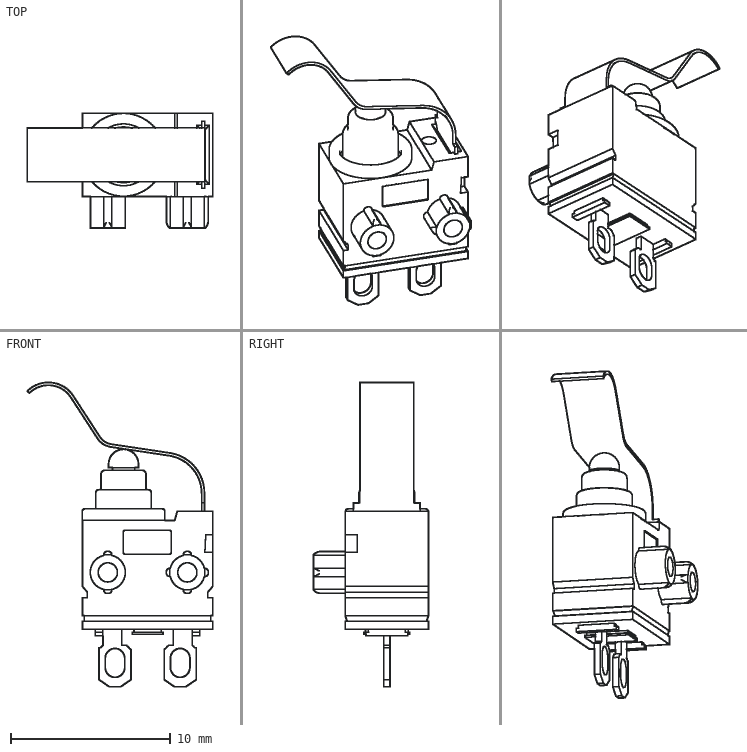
import cadquery as cq
import math

body_length = 8.2
body_depth = 5.25
deck_height = 6.85
step_height = 7.43
step_foot_x = 1.7
step_edge_x = 1.85

notch_depth = 0.3
notch_bottom = 2.0
notch_ramp_bottom = 2.34
notch_top = 2.7
groove_bottom = 0.52
groove_top = 0.86
groove_end_depth = 0.11
groove_side_depth = 0.11

label_length = 3.0
label_height = 1.5
label_x = -0.02
label_z = 5.48
label_depth = 0.1
label_corner = 0.1

corner_notch_bottom = 4.85
corner_notch_top = 5.95
corner_notch_bottom_x = 3.6
corner_notch_top_x = 3.65
corner_notch_depth = 0.77

boss_spacing = 5.0
boss_z = 3.58
boss_diameter = 2.2
boss_length = 2.0
boss_hole_diameter = 1.2
rib_reach = 1.32
rib_width = 0.52
rib_top_rounding = 0.23
rib_rounding = 0.46

plunger_x = -1.51
collar_diameter = 5.21
collar_top = 7.59
collar_rounding = 0.17
collar_mouth_diameter = 4.5
collar_bore_diameter = 3.89
seal_diameter = 3.5
seal_top = 8.8
stage_diameter = 2.85
stage_top = 10.02
stage_rounding = 0.29
seal_rounding = 0.21
seal_foot_rounding = 0.08
neck_diameter = 1.42
cap_diameter = 1.9
cap_bottom = 10.17
cap_rim_top = 10.38

lever_thickness = 0.2
lever_width = 3.4
lever_leg_x = 3.49
lever_leg_top = 8.56
lever_slope = 8.5
lever_rise = 57
shoulder_radius = 2.47
slope_length = 3.72
valley_radius = 1.13
rise_length = 3.07
crest_radius = 1.78
crest_end_angle = 45
ear_span = 4.2
ear_top = 7.95

socket_length = 0.8
socket_width = 3.72
socket_depth = 0.38
socket_taper = 35
socket_x = lever_leg_x
dimple_x = 2.34
dimple_diameter = 0.92
dimple_depth = 0.17

terminal_x = 2.05
terminal_thickness = 0.4
terminal_bottom = -3.62
eye_half_width = 1.02
neck_outer = 0.77
neck_inner = 0.45
shoulder_z = -1.0
eye_inner_corner = 0.29
eye_outer_shoulder = 0.15
eye_tip_half_width = 0.35
eye_tip_height = 0.46
slot_width = 1.2
slot_length = 1.8
slot_z = -2.1
pad_layer = 0.17
pad_outer_x = 3.3
pad_stem_width = 2.34
pad_flange_width = 2.65
pad_flange_thickness = 0.23
plate_stem = (1.72, 2.7)
plate_flange = (1.95, 2.87)
plate_flange_thickness = 0.13

half_length = body_length / 2
half_depth = body_depth / 2
embed = 0.1
lever_foot_z = step_height - socket_depth - embed


def box(x_range, y_range, z_range):
    """Axis-aligned box between the given limits."""
    (x0, x1), (y0, y1), (z0, z1) = x_range, y_range, z_range
    return cq.Workplane("XY").box(x1 - x0, y1 - y0, z1 - z0, centered=False).translate((x0, y0, z0))


def centred_pad(size, top, thickness):
    """Rectangular pad centred on the Z axis, hanging down from the given height."""
    return cq.Workplane("XY", origin=(0, 0, top)).rect(*size).extrude(-thickness)


def front_extrusion(points, depth):
    """Prism of an XZ outline, centred on Y."""
    return cq.Workplane("XZ").polyline(points).close().extrude(depth / 2, both=True)


def housing():
    neck = half_length - notch_depth
    right_side = [
        (half_length, 0),
        (half_length, notch_bottom),
        (neck, notch_bottom),
        (neck, notch_ramp_bottom),
        (half_length, notch_top),
    ]
    left_side = [(-x, z) for x, z in reversed(right_side)]
    top = [
        (half_length, step_height),
        (step_edge_x, step_height),
        (step_foot_x, deck_height),
        (-half_length, deck_height),
    ]
    return front_extrusion(right_side + top + left_side, body_depth)


def base_groove():
    """Groove around the base: square at the ends, undercut at the front and back."""
    band = box((-half_length, half_length), (-half_depth, half_depth), (groove_bottom, groove_top))
    core = (
        cq.Workplane("YZ")
        .polyline(
            [
                (-half_depth + groove_side_depth, groove_bottom),
                (half_depth - groove_side_depth, groove_bottom),
                (half_depth, groove_top),
                (-half_depth, groove_top),
            ]
        )
        .close()
        .extrude(half_length - groove_end_depth, both=True)
    )
    return band.cut(core)


def label_recess():
    return (
        cq.Workplane("XZ", origin=(label_x, -half_depth, label_z))
        .rect(label_length, label_height)
        .extrude(-label_depth)
        .edges("|Y")
        .fillet(label_corner)
    )


def corner_notch():
    outline = [
        (corner_notch_bottom_x, corner_notch_bottom),
        (half_length, corner_notch_bottom),
        (half_length, corner_notch_top),
        (corner_notch_top_x, corner_notch_top),
    ]
    front_face = cq.Workplane("XZ", origin=(0, -half_depth, 0))
    return front_face.polyline(outline).close().extrude(-corner_notch_depth)


def lever_socket():
    return (
        cq.Workplane("XY", origin=(socket_x, 0, step_height))
        .rect(socket_length, socket_width)
        .extrude(-socket_depth, taper=socket_taper)
    )


def dimple():
    cone = cq.Solid.makeCone(dimple_diameter / 2, 0, dimple_depth, dir=cq.Vector(0, 0, -1))
    return cq.Workplane(cone).translate((dimple_x, 0, step_height))


def boss_rib(angle):
    """Round-topped rib along a boss, curving down to the boss at its free end."""
    half_width = rib_width / 2
    rib = box((-half_width, half_width), (-boss_length, 0), (0, rib_reach))
    rib = rib.edges("|Y and >Z").fillet(rib_top_rounding)
    end_curve = (
        cq.Workplane("YZ")
        .moveTo(0, rib_reach)
        .lineTo(-boss_length + rib_rounding, rib_reach)
        .tangentArcPoint((-boss_length, boss_diameter / 2), relative=False)
        .lineTo(-boss_length, rib_reach + embed)
        .lineTo(0, rib_reach + embed)
        .close()
        .extrude(half_width, both=True)
    )
    return rib.cut(end_curve).rotate((0, 0, 0), (0, 1, 0), angle)


def boss(x, rib_angles):
    post = cq.Workplane("XZ").circle(boss_diameter / 2).extrude(boss_length)
    for angle in rib_angles:
        post = post.union(boss_rib(angle))
    bore = cq.Workplane("XZ").circle(boss_hole_diameter / 2).extrude(boss_length)
    return post.cut(bore).translate((x, -half_depth, boss_z))


def disc(diameter, bottom, top):
    return cq.Workplane("XY", origin=(plunger_x, 0, bottom)).circle(diameter / 2).extrude(top - bottom)


def inner_edge(ring):
    """Smallest circular edge of the selected flat ring."""
    return ring.edges(cq.selectors.RadiusNthSelector(0))


def plunger():
    collar = disc(collar_diameter, deck_height, collar_top).faces(">Z").edges().fillet(collar_rounding)
    collar = collar.cut(disc(collar_bore_diameter, deck_height, collar_top))
    mouth_rounding = (collar_mouth_diameter - collar_bore_diameter) / 2
    collar = inner_edge(collar.faces(">Z")).fillet(mouth_rounding)

    seal = disc(seal_diameter, deck_height - embed, seal_top).faces(">Z").edges().fillet(seal_rounding)
    stage = disc(stage_diameter, deck_height, stage_top).faces(">Z").edges().fillet(stage_rounding)
    seal = seal.union(stage)
    seal = inner_edge(seal.faces("+Z").faces("<Z")).fillet(seal_foot_rounding)

    neck = disc(neck_diameter, deck_height, cap_rim_top)
    rim = disc(cap_diameter, cap_bottom, cap_rim_top)
    dome = cq.Workplane("XY").sphere(cap_diameter / 2).translate((plunger_x, 0, cap_rim_top))
    dome = dome.intersect(disc(cap_diameter, cap_rim_top, cap_rim_top + cap_diameter))
    return collar.union(seal).union(neck).union(rim).union(dome)


def lever_path():
    """Centre line of the lever in XZ: leg, shoulder, gentle slope, valley, steep rise, crest."""

    def polar(centre, radius, degrees):
        angle = math.radians(degrees)
        return (centre[0] + radius * math.cos(angle), centre[1] + radius * math.sin(angle))

    def along(start, length, slope):
        return polar(start, length, 180 - slope)

    shoulder_centre = (lever_leg_x - shoulder_radius, lever_leg_top)
    shoulder_end = polar(shoulder_centre, shoulder_radius, 90 - lever_slope)
    slope_end = along(shoulder_end, slope_length, lever_slope)
    valley_centre = polar(slope_end, valley_radius, 90 - lever_slope)
    valley_end = polar(valley_centre, valley_radius, 270 - lever_rise)
    rise_end = along(valley_end, rise_length, lever_rise)
    crest_centre = polar(rise_end, crest_radius, 270 - lever_rise)
    return (
        cq.Workplane("XZ")
        .moveTo(lever_leg_x, lever_foot_z)
        .lineTo(lever_leg_x, lever_leg_top)
        .threePointArc(polar(shoulder_centre, shoulder_radius, (90 - lever_slope) / 2), shoulder_end)
        .lineTo(*slope_end)
        .threePointArc(polar(valley_centre, valley_radius, 270 - (lever_slope + lever_rise) / 2), valley_end)
        .lineTo(*rise_end)
        .threePointArc(
            polar(crest_centre, crest_radius, 90),
            polar(crest_centre, crest_radius, 90 + crest_end_angle),
        )
    )


def lever():
    foot = cq.Workplane("XY", origin=(lever_leg_x, 0, lever_foot_z))
    strip = foot.rect(lever_thickness, lever_width).sweep(lever_path())
    ears = foot.rect(lever_thickness, ear_span).extrude(ear_top - lever_foot_z)
    return strip.union(ears)


def terminal():
    """Right-hand solder terminal: a neck and a slotted eye."""
    outline = [
        (-neck_inner, embed),
        (-neck_inner, shoulder_z),
        (-eye_half_width + eye_inner_corner, shoulder_z),
        (-eye_half_width, shoulder_z - eye_inner_corner),
        (-eye_half_width, terminal_bottom + eye_tip_height),
        (-eye_tip_half_width, terminal_bottom),
        (eye_tip_half_width, terminal_bottom),
        (eye_half_width, terminal_bottom + eye_tip_height),
        (eye_half_width, shoulder_z - eye_outer_shoulder),
        (neck_outer + eye_outer_shoulder, shoulder_z - eye_outer_shoulder),
        (neck_outer, shoulder_z),
        (neck_outer, embed),
    ]
    slot = (
        cq.Workplane("XZ", origin=(0, 0, slot_z))
        .slot2D(slot_length, slot_width, 90)
        .extrude(terminal_thickness, both=True)
    )
    return front_extrusion(outline, terminal_thickness).cut(slot).translate((terminal_x, 0, 0))


def terminal_pad():
    """T-section pad on the outer side of the right-hand terminal."""
    inner_x = terminal_x + neck_outer
    length = pad_outer_x - inner_x
    stem = centred_pad((length, pad_stem_width), embed, pad_layer + embed)
    flange = centred_pad((length, pad_flange_width), -pad_layer, pad_flange_thickness)
    return stem.union(flange).translate(((pad_outer_x + inner_x) / 2, 0, 0))


def centre_plate():
    stem = centred_pad(plate_stem, embed, pad_layer + embed)
    flange = centred_pad(plate_flange, -pad_layer, plate_flange_thickness)
    return stem.union(flange)


result = housing()
for recess in (base_groove(), label_recess(), corner_notch(), lever_socket(), dimple()):
    result = result.cut(recess)

right_terminal = terminal().union(terminal_pad())
additions = [
    boss(-boss_spacing / 2, (0, 180)),
    boss(boss_spacing / 2, (0, 90, 180, 270)),
    plunger(),
    lever(),
    right_terminal,
    right_terminal.mirror("YZ"),
    centre_plate(),
]
for addition in additions:
    result = result.union(addition)